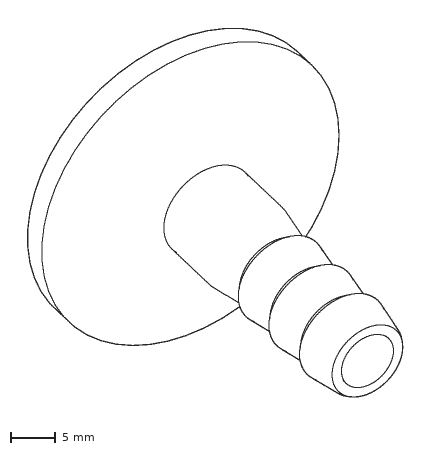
import cadquery as cq
import math

length = 40.0
flange_radius = 20.0
rim_thickness = 3.0
back_slope = 15.0
stem_radius = 6.0
stem_end = 14.6
flange_end = rim_thickness + (flange_radius - stem_radius) * math.tan(math.radians(back_slope))

barb_count = 3
barb_pitch = 6.4
first_root = 20.9
root_radius = 4.95
crest_radius = 5.8
crest_rise = 1.1
tip_chamfer = 0.5
tip_radius = 5.0
tip_face_radius = tip_radius - tip_chamfer / 2

bore_diameter = 7.0
recess_diameter = 26.2
recess_depth = 2.6


def outer_body():
    """Revolve the outer profile about the X axis."""
    points = [
        (0, 0),
        (0, flange_radius),
        (rim_thickness, flange_radius),
        (flange_end, stem_radius),
        (stem_end, stem_radius),
    ]
    for index in range(barb_count):
        root = first_root + index * barb_pitch
        points.append((root, root_radius))
        points.append((root + crest_rise, crest_radius))
    points += [
        (length - tip_chamfer, tip_radius),
        (length, tip_face_radius),
        (length, 0),
    ]
    return cq.Workplane("XY").polyline(points).close().revolve(360, (0, 0, 0), (1, 0, 0))


def round_cut(diameter, depth):
    """Cylinder running from the flange face along +X."""
    return cq.Workplane("YZ").circle(diameter / 2).extrude(depth)


result = outer_body()
result = result.cut(round_cut(recess_diameter, recess_depth))
result = result.cut(round_cut(bore_diameter, length))